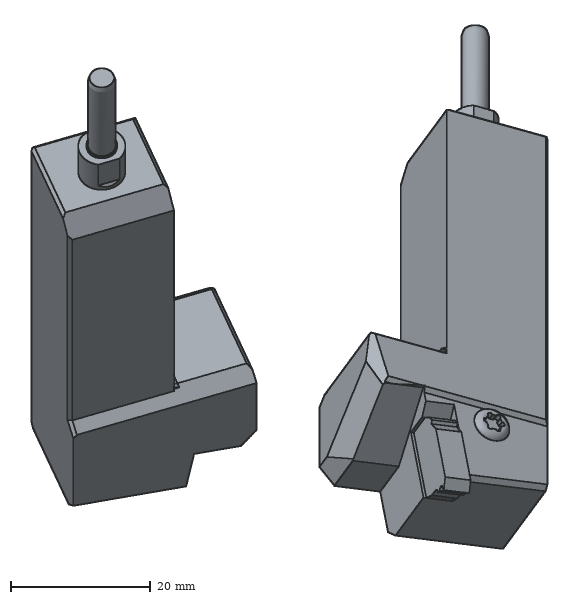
import cadquery as cq
import math


total_height = 90.4
side_x = 0.3
edge_chamfer = 0.5

shank_right_x = 16.4
shank_depth = 16.1
shank_top_z = 68.8
shank_corner_cut = 2.9

head_right_x = 18.3
head_depth = 28.0
head_top_z = 24.7
shoulder_start_x = 15.55
shoulder_angle = 30.0
bevel_width = 0.8
bevel_drop = 0.6
root_width = 0.8
root_height = 0.45
heel_corner = (25.7, 9.7)
heel_back_z = 12.3

tilt = 10.0
tip_y = 16.1
base_height = 2.2
base_left_chamfer = 0.7
base_right_chamfer = 1.9
blade_overhang = 0.45

clearance_top = 17.4
clearance_bottom = 11.1
clearance_end_x = 11.75

recess_x = 0.8
recess_top_z = 17.0
recess_ledge = 0.7

insert_width = 4.1
insert_back_x = 6.6
insert_top = 13.6
insert_top_x = 2.7
pocket_lip = 15.1
insert_face_bottom = 1.5
insert_face_top = 9.9

screw_y = 8.8
screw_z = 13.7
screw_face_diameter = 3.6
screw_diameter = 5.5
screw_dome_middle = (0.3, 2.35)
socket_core_diameter = 2.5
socket_depth = 1.1
lobe_count = 6
lobe_diameter = 0.7

fitting_x = 8.2
fitting_y = shank_depth / 2
fitting_diameter = 6.8
fitting_flats = 6.0
fitting_top_z = 74.6
flats_bottom_z = 69.8
collar_diameter = 4.4
collar_top_z = 74.8
tube_diameter = 4.0
tube_tip_diameter = 3.5
tube_tip_height = 0.8

overrun = 4.5


def prism_along_y(points, y_start, y_end):
    """Extrude an outline of (X, Z) points from y_start to y_end."""
    outline = cq.Workplane("XZ", origin=(0, y_start, 0)).polyline(points).close()
    return outline.extrude(y_start - y_end)


def prism_along_x(points, x_start, x_end):
    """Extrude an outline of (Y, Z) points from x_start to x_end."""
    outline = cq.Workplane("YZ", origin=(x_start, 0, 0)).polyline(points).close()
    return outline.extrude(x_end - x_start)


def leaning(body):
    """Turn a body drawn upright around the tip corner into its leaning place."""
    return body.rotate((0, 0, 0), (1, 0, 0), -tilt).translate((0, tip_y, 0))


def beyond_plane(first, second, third):
    """Block on the -X side of the plane through three points."""
    origin = cq.Vector(*first)
    along = cq.Vector(*second) - origin
    normal = along.cross(cq.Vector(*third) - origin)
    if normal.x > 0:
        normal = normal * -1
    plane = cq.Plane(origin=origin, xDir=along, normal=normal)
    return cq.Workplane(plane).rect(2 * head_depth, 2 * head_depth).extrude(head_depth)


def make_shank():
    shank = prism_along_y(
        [
            (side_x, recess_top_z),
            (shank_right_x, recess_top_z),
            (shank_right_x, shank_top_z - shank_corner_cut),
            (shank_right_x - shank_corner_cut, shank_top_z),
            (side_x, shank_top_z),
        ],
        0,
        shank_depth,
    )
    return shank.faces(">Z").edges("<X or <Y or >Y").chamfer(edge_chamfer)


def make_head():
    shoulder_drop = (head_right_x - shoulder_start_x) * math.tan(math.radians(shoulder_angle))
    across = prism_along_y(
        [
            (side_x, 0),
            (head_right_x, 0),
            (head_right_x, head_top_z - shoulder_drop),
            (shoulder_start_x, head_top_z),
            (side_x + bevel_width, head_top_z),
            (side_x, head_top_z - bevel_drop),
        ],
        0,
        head_depth,
    )
    along = prism_along_x(
        [
            (0, 0),
            (heel_corner[0], 0),
            heel_corner,
            (head_depth, heel_back_z),
            (head_depth, head_top_z - edge_chamfer),
            (head_depth - edge_chamfer, head_top_z),
            (0, head_top_z),
        ],
        side_x,
        head_right_x,
    )
    return across.intersect(along)


def make_root_strip():
    return prism_along_x(
        [
            (shank_depth, head_top_z),
            (shank_depth + root_width, head_top_z),
            (shank_depth, head_top_z + root_height),
        ],
        side_x,
        shank_right_x,
    )


def front_left_chamfer():
    """45 degree cut along the upright -X, -Y edge."""
    return (
        cq.Workplane("XY")
        .polyline([(side_x, 0), (side_x + edge_chamfer, 0), (side_x, edge_chamfer)])
        .close()
        .extrude(total_height)
    )


def chamfer_front_right(holder):
    """Chamfer the -Y edge down the shank's +X side and along the head's shoulder."""
    corner = cq.selectors.BoxSelector(
        (shank_right_x - edge_chamfer, -overrun, recess_top_z),
        (head_right_x - edge_chamfer, overrun, shank_top_z - shank_corner_cut),
    )
    return holder.edges(corner).chamfer(edge_chamfer)


def below_blade():
    """Everything under the blade, leaving its chamfered leaning underside."""
    left_end = recess_x + base_left_chamfer
    right_end = head_right_x - base_right_chamfer
    outline = [
        (recess_x - overrun, base_height + base_left_chamfer + overrun),
        (left_end, base_height),
        (right_end, base_height),
        (head_right_x + overrun, base_height + base_right_chamfer + overrun),
        (head_right_x + overrun, -overrun),
        (recess_x - overrun, -overrun),
    ]
    return leaning(prism_along_y(outline, -head_depth, head_depth))


def overhang_clearance():
    """Space beside the blade, with a sloped ceiling that runs down to the flat heel."""
    outline = [
        (-overrun, clearance_top),
        (recess_x, clearance_top),
        (clearance_end_x, clearance_bottom),
        (head_right_x + overrun, clearance_bottom),
        (head_right_x + overrun, -overrun),
        (-overrun, -overrun),
    ]
    return leaning(prism_along_y(outline, blade_overhang, head_depth))


def side_recess():
    """Shallow step in the -X side, under a slanted ledge."""
    outline = [
        (-overrun, recess_top_z),
        (side_x, recess_top_z),
        (recess_x, recess_top_z - recess_ledge),
        (recess_x, -overrun),
        (-overrun, -overrun),
    ]
    return prism_along_y(outline, -overrun, head_depth + overrun)


def insert_pocket():
    """Seat for the insert, with chip room under a slanted ceiling."""
    outline = [
        (-overrun, pocket_lip),
        (recess_x, pocket_lip),
        (insert_top_x, insert_top),
        (insert_back_x, insert_top),
        (insert_back_x, -overrun),
        (-overrun, -overrun),
    ]
    return leaning(prism_along_y(outline, blade_overhang, -insert_width))


def overhang_corner_cuts():
    """Two flat cuts on the -X, +Y corner of the overhang, one above the other."""
    upper_top = (side_x, 27.5, 24.4)
    upper_bottom = (side_x, 25.3, 17.0)
    ridge_top = (2.1, head_depth, 20.1)
    ridge_bottom = (1.2, 25.85, 15.9)
    lower_end = (clearance_end_x, 25.85, 9.85)
    upper = beyond_plane(upper_top, upper_bottom, ridge_top)
    lower = beyond_plane(ridge_top, ridge_bottom, lower_end)
    return upper, lower


def make_screw_head():
    """Domed head and its lobed socket, with the face at the origin and the axis along +X."""
    face_radius = screw_face_diameter / 2
    radius = screw_diameter / 2
    head = (
        cq.Workplane("XY")
        .lineTo(0, face_radius)
        .threePointArc(screw_dome_middle, (recess_x, radius))
        .lineTo(recess_x + overrun, radius)
        .lineTo(recess_x + overrun, 0)
        .close()
        .revolve(360, (0, 0), (1, 0))
    )
    face = cq.Workplane("YZ")
    socket = face.circle(socket_core_diameter / 2).extrude(socket_depth)
    lobes = (
        face.polarArray(socket_core_diameter / 2, 0, 360, lobe_count)
        .circle(lobe_diameter / 2)
        .extrude(socket_depth)
    )
    return head, socket.union(lobes)


def make_fitting():
    """Nut with two flats, a thin collar and a tube with a tapered tip."""
    nut_height = fitting_top_z - shank_top_z
    base = cq.Workplane("XY", origin=(fitting_x, fitting_y, shank_top_z))
    nut = base.circle(fitting_diameter / 2).extrude(nut_height)
    ramp = (fitting_diameter - fitting_flats) / 2
    half_flats = fitting_flats / 2
    for side in (-1, 1):
        flat = prism_along_y(
            [
                (fitting_x + side * half_flats, flats_bottom_z),
                (fitting_x + side * (half_flats + ramp), flats_bottom_z - ramp),
                (fitting_x + side * (half_flats + ramp), fitting_top_z),
                (fitting_x + side * half_flats, fitting_top_z),
            ],
            fitting_y - fitting_diameter,
            fitting_y + fitting_diameter,
        )
        nut = nut.cut(flat)
    collar = base.circle(collar_diameter / 2).extrude(collar_top_z - shank_top_z)
    tube = base.circle(tube_diameter / 2).extrude(total_height - shank_top_z)
    tip_inset = (tube_diameter - tube_tip_diameter) / 2
    tube = tube.faces(">Z").chamfer(tube_tip_height, tip_inset)
    return nut.union(collar).union(tube)


def make_holder():
    """Shank, head and blade in one body with the fixed screw head and coolant fitting."""
    holder = make_shank().union(make_head()).union(make_root_strip())
    holder = chamfer_front_right(holder)
    holder = holder.cut(front_left_chamfer()).cut(below_blade())
    holder = holder.cut(side_recess()).cut(overhang_clearance())
    for corner_cut in overhang_corner_cuts():
        holder = holder.cut(corner_cut)
    holder = holder.cut(insert_pocket())
    screw_head, socket = make_screw_head()
    screw_place = (0, screw_y, screw_z)
    holder = holder.union(screw_head.translate(screw_place))
    holder = holder.cut(socket.translate(screw_place))
    return holder.union(make_fitting()).solids()


def make_insert():
    """Insert with a stepped cutting edge below and a ridged top for chip control."""
    outline = [
        (side_x, insert_face_bottom),
        (1.4, 0),
        (1.7, 1.0),
        (2.2, 1.1),
        (2.5, 0.7),
        (3.1, 0.8),
        (3.3, 1.45),
        (5.0, 1.5),
        (insert_back_x, base_height),
        (insert_back_x, insert_top),
        (insert_top_x, insert_top),
        (1.45, 12.7),
        (0.9, 11.9),
        (1.3, 11.5),
        (side_x, insert_face_top),
    ]
    return leaning(prism_along_y(outline, 0, -insert_width))


holder = make_holder()
insert = make_insert()
result = cq.Compound.makeCompound([holder.val(), insert.val()])